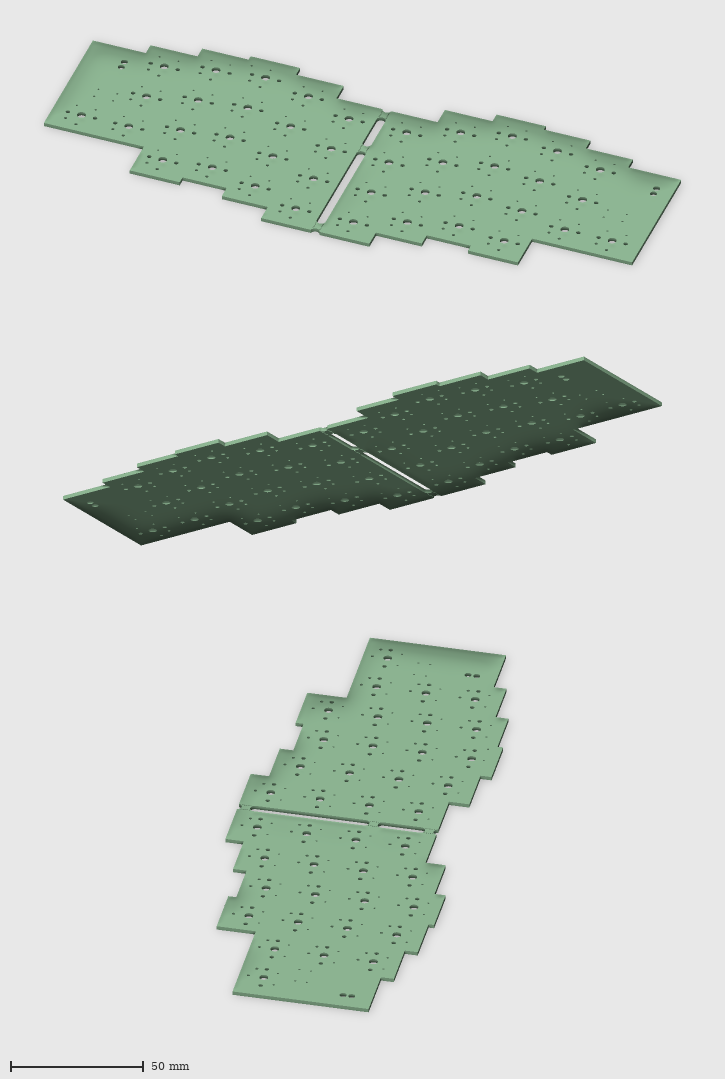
import cadquery as cq


length = 237.0
depth = 89.0
thickness = 1.52
half_length = length / 2
half_depth = depth / 2

gap_width = 3.5
tab_waist = 3.3
inner_top = 32.5
middle_tab_y = 7.8
bite_diameter = 0.5
bite_count = 5
bite_pitch = 0.8
bite_x = 1.5

end_tab_inset = 3.0
tab_centers = [-half_depth + end_tab_inset, middle_tab_y, inner_top - end_tab_inset]

column_span = 95.3
column_steps = 5
key_pitch = column_span / column_steps
stagger = key_pitch / 8
first_column_x = 11.5
highest_key_y = 34.5
columns = [(5, 4), (2, 4), (0, 4), (1, 4), (3, 3), (19, 1)]

stem_diameter = 3.3
guide_diameter = 1.7
guide_x = 5.5
pin_diameter = 1.2
pin_points = [(-5.0, -3.8), (0, -6.0)]

lead_diameter = 0.8
lead_x = 3.8
diode_shift_x = 0.15
diode_shift_y = 4.7
moved_diode_column = 2
moved_diode_shift_x = -3.5
spare_diode_x = 102.5
spare_diode_y = [1.5, 6.0]

cable_diameter = 2.5
cable_pitch = 3.3
cable_centers = [(-102.8, 23.0), (111.5, 22.8)]

top_steps = [
    (0, inner_top),
    (20.4, 40.3),
    (39.5, half_depth),
    (59.5, 42.5),
    (78.2, 37.5),
    (97.2, inner_top),
]
bottom_steps = [
    (0, -half_depth),
    (21.8, -37.5),
    (40.3, -32.2),
    (58.0, -35.3),
    (78.2, -20.1),
]


def step_points(steps):
    """Corner points of a stepped edge that runs from the centre line to the outer end."""
    ends = [x for x, _ in steps[1:]] + [half_length]
    points = []
    for (start, y), end in zip(steps, ends):
        points += [(start, y), (end, y)]
    return points


def plate_half():
    outline = step_points(bottom_steps) + step_points(top_steps)[::-1]
    return cq.Workplane("XY").polyline(outline).close().extrude(thickness)


def gap_slot(bottom_tab, top_tab):
    """Round-ended opening between two tabs, given by their centres along Y."""
    slot_length = top_tab - bottom_tab - tab_waist
    middle = (bottom_tab + top_tab) / 2
    return cq.Workplane("XY").center(0, middle).slot2D(slot_length, gap_width, 90).extrude(thickness)


def drill(diameter, points):
    return cq.Workplane("XY").pushPoints(points).circle(diameter / 2).extrude(thickness)


def around(centers, offsets):
    return [(x + dx, y + dy) for x, y in centers for dx, dy in offsets]


keys = []
diodes = []
for column, (steps_down, key_count) in enumerate(columns):
    x = first_column_x + column * key_pitch
    top_key_y = highest_key_y - steps_down * stagger
    for row in range(key_count):
        y = top_key_y - row * key_pitch
        for side in (-1, 1):
            moved = side < 0 and column == moved_diode_column and row == 0
            shift = moved_diode_shift_x if moved else diode_shift_x
            keys.append((side * x, y))
            diodes.append((side * x + shift, y + diode_shift_y))

for side in (-1, 1):
    diodes += [(side * spare_diode_x + diode_shift_x, y) for y in spare_diode_y]

bite_offsets = [
    (side * bite_x, (i - (bite_count - 1) / 2) * bite_pitch)
    for side in (-1, 1)
    for i in range(bite_count)
]

right_half = plate_half()
plate = right_half.union(right_half.mirror("YZ"))

gap_stops = [-depth, *tab_centers, depth]
for bottom_tab, top_tab in zip(gap_stops, gap_stops[1:]):
    plate = plate.cut(gap_slot(bottom_tab, top_tab))

holes = [
    drill(stem_diameter, keys),
    drill(guide_diameter, around(keys, [(-guide_x, 0), (guide_x, 0)])),
    drill(pin_diameter, around(keys, pin_points)),
    drill(lead_diameter, around(diodes, [(-lead_x, 0), (lead_x, 0)])),
    drill(cable_diameter, around(cable_centers, [(0, -cable_pitch / 2), (0, cable_pitch / 2)])),
    drill(bite_diameter, around([(0, y) for y in tab_centers], bite_offsets)),
]
for hole_set in holes:
    plate = plate.cut(hole_set)

result = plate